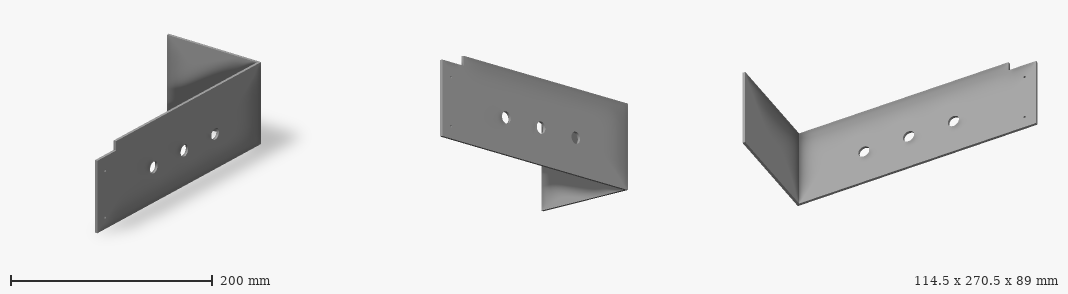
import cadquery as cq

width = 114.5
length = 270.5
height = 89.0
thickness = 3.0

notch_length = 31.0
notch_depth = 10.3

large_hole_diameter = 12.5
large_hole_count = 3
large_hole_pitch = 50.5
first_large_hole_from_bend = 76.0
large_hole_height = 38.1

small_hole_diameter = 2.5
small_hole_from_end = 13.0
small_hole_heights = (12.7, 63.3)


def make_legs():
    """Long leg along Y at the +X side, short leg along X at the +Y end."""
    long_leg = cq.Workplane("XY").box(thickness, length, height, centered=False)
    long_leg = long_leg.translate((width - thickness, 0, 0))
    short_leg = cq.Workplane("XY").box(width, thickness, height, centered=False)
    short_leg = short_leg.translate((0, length - thickness, 0))
    return long_leg.union(short_leg)


def make_notch():
    """Block removed from the top of the free end of the long leg."""
    notch = cq.Workplane("XY").box(width, notch_length, notch_depth, centered=False)
    return notch.translate((0, 0, height - notch_depth))


def make_drills(points, diameter):
    """Cylinders along X through the long leg at the given (Y, Z) points."""
    return cq.Workplane("YZ").pushPoints(points).circle(diameter / 2).extrude(width)


large_hole_points = [
    (length - first_large_hole_from_bend - i * large_hole_pitch, large_hole_height)
    for i in range(large_hole_count)
]
small_hole_points = [(small_hole_from_end, z) for z in small_hole_heights]

result = (
    make_legs()
    .cut(make_notch())
    .cut(make_drills(large_hole_points, large_hole_diameter))
    .cut(make_drills(small_hole_points, small_hole_diameter))
)